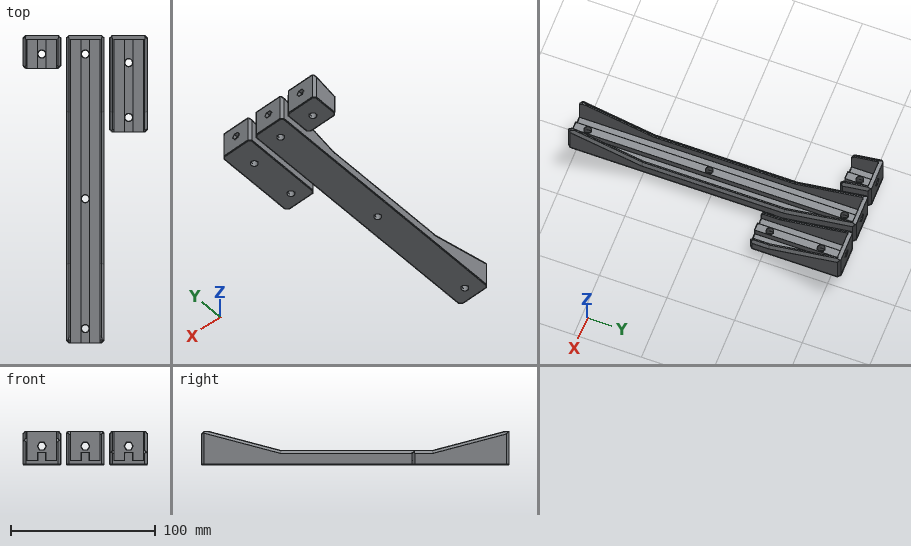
import cadquery as cq

width = 26.2
height = 23.2
low_height = 10.0
wall = 3.0
back_wall = wall
floor = 3.2
rib_width = 5.8
rib_height = 8.5
edge_chamfer = 2.0
bottom_chamfer = 0.51

hole_diameter = 5.3
end_hole_sides = 6
end_hole_across_corners = 6.0
end_hole_height = 13.0

long_length = 213.0
medium_length = 67.0
short_length = 23.0
ramp_run = 50.0
open_end_flat = wall + edge_chamfer
overall_width = 86.3
pitch = (overall_width - width) / 2
back_y = long_length / 2

short_holes = [13.0]
medium_holes = [19.0, 56.9]
long_holes = [13.0, 113.0, 203.0]

ramp_slope = (height - low_height) / ramp_run
closed_ramp_end = back_wall + ramp_run
open_ramp_end = open_end_flat + ramp_run


def side_outline(length):
    """Side outline as (distance from closed end, height) points, with the ramps run up to the ends."""
    points = [(0, 0), (0, low_height + ramp_slope * closed_ramp_end)]
    if length < closed_ramp_end:
        points += [(length, low_height + ramp_slope * (closed_ramp_end - length))]
    elif length < long_length:
        points += [(closed_ramp_end, low_height), (length, low_height)]
    else:
        points += [
            (closed_ramp_end, low_height),
            (length - open_ramp_end, low_height),
            (length, low_height + ramp_slope * open_ramp_end),
        ]
    return points + [(length, 0)]


def bracket(center_x, length, hole_distances):
    """Trough bracket closed at +Y, open at -Y, with a ribbed floor and screw holes."""
    outline = [(-distance, z) for distance, z in side_outline(length)]
    body = cq.Workplane("YZ").polyline(outline).close().extrude(width / 2, both=True)

    body = body.faces("<X or >X").edges("not <Z").chamfer(edge_chamfer)
    below_top = cq.Workplane("XY").box(width, length, height, centered=(True, False, False))
    body = body.intersect(below_top.translate((0, -length, 0)))
    body = body.faces("<Y").edges(">Z").chamfer(edge_chamfer)
    body = body.faces("<Z").edges().chamfer(bottom_chamfer)

    channel = cq.Workplane("XY").box(
        width - 2 * wall, length - back_wall, height, centered=(True, False, False)
    ).translate((0, -length, floor))
    rib = cq.Workplane("XY").box(
        rib_width, length - back_wall, rib_height - floor, centered=(True, False, False)
    ).translate((0, -length, floor))
    body = body.cut(channel).union(rib)

    floor_holes = (
        cq.Workplane("XY")
        .pushPoints([(0, -distance) for distance in hole_distances])
        .circle(hole_diameter / 2)
        .extrude(height)
    )
    end_hole = (
        cq.Workplane("XZ")
        .center(0, end_hole_height)
        .polygon(end_hole_sides, end_hole_across_corners)
        .extrude(back_wall)
    )
    return body.cut(floor_holes).cut(end_hole).translate((center_x, back_y, 0))


short_bracket = bracket(-pitch, short_length, short_holes)
long_bracket = bracket(0, long_length, long_holes)
medium_bracket = bracket(pitch, medium_length, medium_holes)

result = cq.Compound.makeCompound(
    [short_bracket.val(), long_bracket.val(), medium_bracket.val()]
)